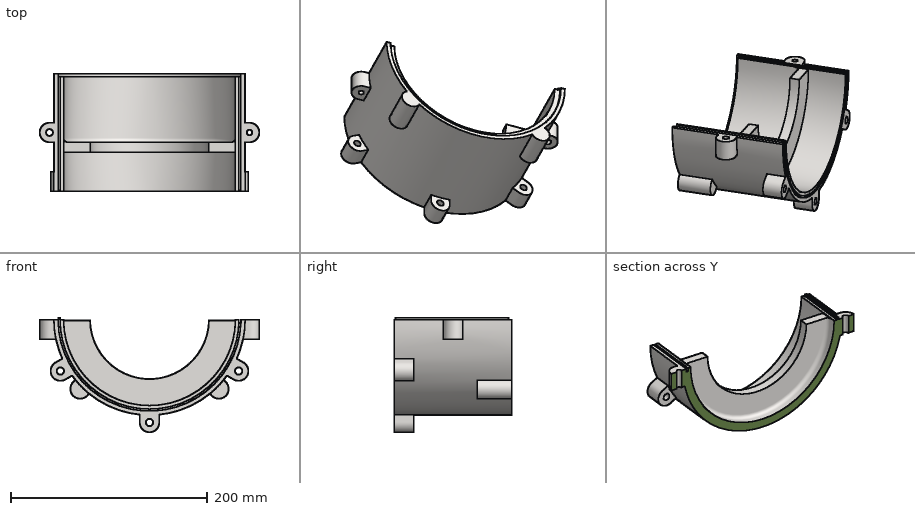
import cadquery as cq
import math

length = 120.0
outer_radius = 97.5
inner_radius = 87.5

joint_inner_radius = 91.2
joint_outer_radius = 93.2
tongue_height = 2.0
split_groove_depth = 3.4
end_groove_depth = 1.3

back_recess_depth = 3.4

rib_inner_radius = 60.5
rib_front = 40.0
rib_thickness = 10.0
rib_fillet = 4.0
rib_top_drop = 0.7

lug_radius = 10.0
lug_thickness = 20.2
end_hole_radius = 3.5
side_lug_reach = 112.0
left_hole_radius = 3.4
right_hole_radius = 2.7
end_lug_distance = 104.8
end_lug_angles = (-150, -90, -30)
pad_distance = 100.0
pad_length = 35.5
pad_angles = (-135, -45)
lug_root = (joint_outer_radius + outer_radius) / 2


def half_ring(r_outer, r_inner, y_start, depth):
    """Ring about the Y axis, keeping only the material below Z = 0."""
    ring = (
        cq.Workplane("XZ", origin=(0, y_start, 0))
        .circle(r_outer)
        .circle(r_inner)
        .extrude(-depth)
    )
    below = cq.Workplane("XY").box(
        2 * r_outer, depth, r_outer, centered=(True, False, False)
    ).translate((0, y_start, -r_outer))
    return ring.intersect(below)


def end_lug(angle):
    """Round-ended screw lug at the front end, pointing away from the Y axis."""
    lug = (
        cq.Workplane("XZ")
        .moveTo(lug_root, -lug_radius)
        .lineTo(end_lug_distance, -lug_radius)
        .threePointArc((end_lug_distance + lug_radius, 0), (end_lug_distance, lug_radius))
        .lineTo(lug_root, lug_radius)
        .close()
        .extrude(-lug_thickness)
    )
    hole = (
        cq.Workplane("XZ")
        .center(end_lug_distance, 0)
        .circle(end_hole_radius)
        .extrude(-lug_thickness)
    )
    return lug.cut(hole).rotate((0, 0, 0), (0, 1, 0), -angle)


def pad(angle):
    """Cylindrical pad at the back end, partly sunk into the shell wall."""
    return (
        cq.Workplane("XZ", origin=(0, length - pad_length, 0))
        .center(pad_distance, 0)
        .circle(lug_radius)
        .extrude(-pad_length)
        .rotate((0, 0, 0), (0, 1, 0), -angle)
    )


def side_lug(side, hole_radius):
    """Vertical screw lug beside the split face; side is -1 or +1 along X."""
    center_x = side_lug_reach - lug_radius
    center_y = length / 2
    root_length = center_x - lug_root
    lug = (
        cq.Workplane("XY")
        .center(side * center_x, center_y)
        .circle(lug_radius)
        .extrude(-lug_thickness)
    )
    root = (
        cq.Workplane("XY")
        .center(side * (center_x - root_length / 2), center_y)
        .rect(root_length, 2 * lug_radius)
        .extrude(-lug_thickness)
    )
    hole = (
        cq.Workplane("XY")
        .center(side * center_x, center_y)
        .circle(hole_radius)
        .extrude(-lug_thickness)
    )
    return lug.union(root).cut(hole)


def rib():
    """Half ring whose back face blends into the shell with a concave fillet."""
    rib_back = rib_front + rib_thickness
    arc_center_radius = inner_radius - rib_fillet
    arc_center_y = rib_back + rib_fillet
    diagonal = rib_fillet * math.sqrt(0.5)
    rib_root = (inner_radius + joint_inner_radius) / 2
    ring = (
        cq.Workplane("XY")
        .moveTo(rib_inner_radius, rib_front)
        .lineTo(rib_root, rib_front)
        .lineTo(rib_root, arc_center_y)
        .lineTo(inner_radius, arc_center_y)
        .threePointArc(
            (arc_center_radius + diagonal, arc_center_y - diagonal),
            (arc_center_radius, rib_back),
        )
        .lineTo(rib_inner_radius, rib_back)
        .close()
        .revolve(360, (0, 0, 0), (0, 1, 0))
    )
    below = cq.Workplane("XY", origin=(0, length / 2, -rib_top_drop)).rect(
        2 * outer_radius, length
    ).extrude(-outer_radius)
    return ring.intersect(below)


def joint_strip(side, z_bottom, height, y_start, y_end):
    """Straight bar following the split face between the two joint radii."""
    return (
        cq.Workplane("XY", origin=(0, 0, z_bottom))
        .center(side * (joint_inner_radius + joint_outer_radius) / 2, (y_start + y_end) / 2)
        .rect(joint_outer_radius - joint_inner_radius, y_end - y_start)
        .extrude(height)
    )


body = half_ring(outer_radius, inner_radius, 0, length).union(rib())

for lug_angle in end_lug_angles:
    body = body.union(end_lug(lug_angle))
for pad_angle in pad_angles:
    body = body.union(pad(pad_angle))
body = body.union(side_lug(-1, left_hole_radius)).union(side_lug(1, right_hole_radius))

body = body.cut(half_ring(joint_outer_radius, joint_inner_radius, 0, end_groove_depth))
body = body.cut(
    half_ring(joint_outer_radius, inner_radius, length - back_recess_depth, back_recess_depth)
)
body = body.cut(joint_strip(1, -split_groove_depth, split_groove_depth, 0, length))

result = body.union(
    joint_strip(-1, 0, tongue_height, end_groove_depth, length - back_recess_depth)
)